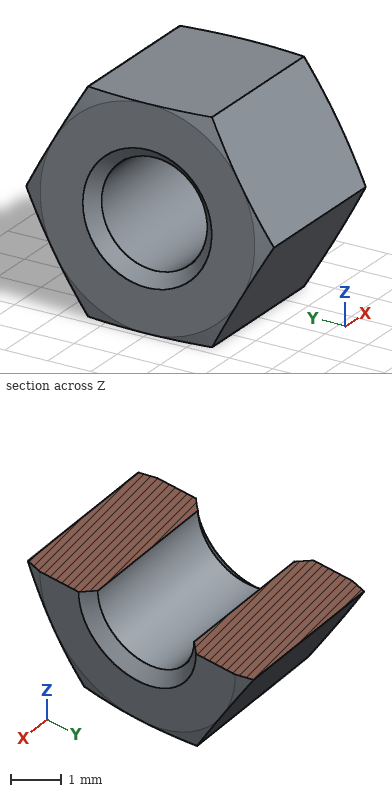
import cadquery as cq
import math

across_corners = 5.77
across_flats = across_corners * math.cos(math.radians(30))
length = 3.7
bore_diameter = 2.46
countersink_diameter = 3.0
countersink_angle = 45.0
corner_chamfer_angle = 15.0

half_length = length / 2


def hexagonal_bar():
    """Hexagonal prism centred on the origin."""
    return (
        cq.Workplane("YZ")
        .polygon(6, across_corners)
        .extrude(half_length, both=True)
    )


def chamfer_envelope():
    """Cylinder with coned ends, whose end circles touch the hexagon flats."""
    face_radius = across_flats / 2
    outer_radius = across_corners / 2
    cone_depth = (outer_radius - face_radius) * math.tan(math.radians(corner_chamfer_angle))
    overrun = 2.0
    envelope_radius = face_radius + overrun * (outer_radius - face_radius)
    envelope_x = half_length - overrun * cone_depth
    return (
        cq.Workplane("XY")
        .moveTo(-half_length, 0)
        .lineTo(-half_length, face_radius)
        .lineTo(-envelope_x, envelope_radius)
        .lineTo(envelope_x, envelope_radius)
        .lineTo(half_length, face_radius)
        .lineTo(half_length, 0)
        .close()
        .revolve(360, (0, 0, 0), (1, 0, 0))
    )


def countersunk_bore():
    """Through bore with a conical countersink at each end."""
    bore_radius = bore_diameter / 2
    countersink_radius = countersink_diameter / 2
    depth = (countersink_radius - bore_radius) / math.tan(math.radians(countersink_angle))
    bore_x = half_length - depth
    return (
        cq.Workplane("XY")
        .moveTo(-half_length, 0)
        .lineTo(-half_length, countersink_radius)
        .lineTo(-bore_x, bore_radius)
        .lineTo(bore_x, bore_radius)
        .lineTo(half_length, countersink_radius)
        .lineTo(half_length, 0)
        .close()
        .revolve(360, (0, 0, 0), (1, 0, 0))
    )


result = hexagonal_bar().intersect(chamfer_envelope()).cut(countersunk_bore())